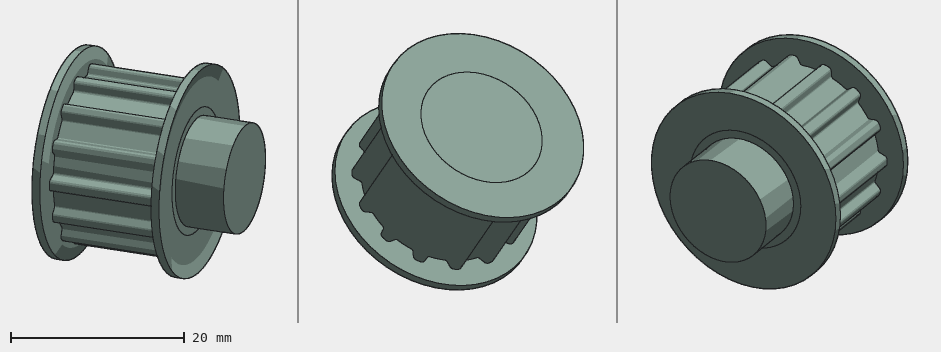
import cadquery as cq
import math


flange_radius = 12.5
flange_flat_radius = 11.0
flange_thickness = 1.0
flange_dish = 0.4

tooth_count = 14
tip_radius = 10.55
root_radius = 9.4
groove_root_width = 2.25
groove_half_angle = 30.0
tip_fillet = 0.52
root_fillet = 0.32
groove_clearance = 0.25
rim_length = 13.0

seat_radius = 7.5
hub_radius = 6.5
hub_length = 6.0

seat_start = flange_dish
rim_start = seat_start + flange_thickness
rim_end = rim_start + rim_length
seat_end = rim_end + flange_thickness

tooth_pitch_angle = 360.0 / tooth_count
edge_tolerance = 0.002


def cylinder(radius, start, end):
    """Solid cylinder on the X axis between two stations."""
    return cq.Workplane("YZ", origin=(start, 0, 0)).circle(radius).extrude(end - start)


def groove_cutter():
    """Trapezoidal groove centred on +Y, with its floor on the root circle."""
    root_half = groove_root_width / 2
    root_corner = math.sqrt(root_radius**2 - root_half**2)
    outer = tip_radius + groove_clearance
    outer_half = root_half + (outer - root_corner) * math.tan(math.radians(groove_half_angle))
    return (
        cq.Workplane("YZ", origin=(rim_start, 0, 0))
        .moveTo(root_corner, -root_half)
        .threePointArc((root_radius, 0), (root_corner, root_half))
        .lineTo(outer, outer_half)
        .lineTo(outer, -outer_half)
        .close()
        .extrude(rim_length)
    )


def fillet_edges_at(body, edge_radius, fillet_radius):
    """Round the lengthwise edges that lie at a given distance from the X axis."""

    def at_radius(edge):
        center = edge.Center()
        return abs(math.hypot(center.y, center.z) - edge_radius) < edge_tolerance

    return body.edges("|X").filter(at_radius).fillet(fillet_radius)


def make_toothed_rim():
    """Rim with grooves between the teeth; one tooth is centred on -Y."""
    rim = cylinder(tip_radius, rim_start, rim_end)
    for index in range(tooth_count):
        angle = index * tooth_pitch_angle
        rim = rim.cut(groove_cutter().rotate((0, 0, 0), (1, 0, 0), angle))
    rim = fillet_edges_at(rim, root_radius, root_fillet)
    rim = fillet_edges_at(rim, tip_radius, tip_fillet)
    return rim.rotate((0, 0, 0), (1, 0, 0), tooth_pitch_angle / 2)


def make_pulley():
    """Toothed rim with a flange seat at each end and the hub on the +X side."""
    seats = cylinder(seat_radius, seat_start, seat_end)
    hub = cylinder(hub_radius, seat_end, seat_end + hub_length)
    return make_toothed_rim().union(seats).union(hub)


def make_flange(web_x, outward):
    """Dished sheet ring: web against the rim at web_x, edge leaning outward (-1 or +1 in X)."""
    web_back = web_x + outward * flange_thickness
    dish = outward * flange_dish
    return (
        cq.Workplane("XY")
        .moveTo(web_x, seat_radius)
        .lineTo(web_x, flange_flat_radius)
        .lineTo(web_x + dish, flange_radius)
        .lineTo(web_back + dish, flange_radius)
        .lineTo(web_back, flange_flat_radius)
        .lineTo(web_back, seat_radius)
        .close()
        .revolve(360, (0, 0, 0), (1, 0, 0))
    )


pulley = make_pulley()
flanges = [make_flange(web_x, outward) for web_x, outward in ((rim_start, -1), (rim_end, 1))]

result = cq.Compound.makeCompound([pulley.val(), *[flange.val() for flange in flanges]])